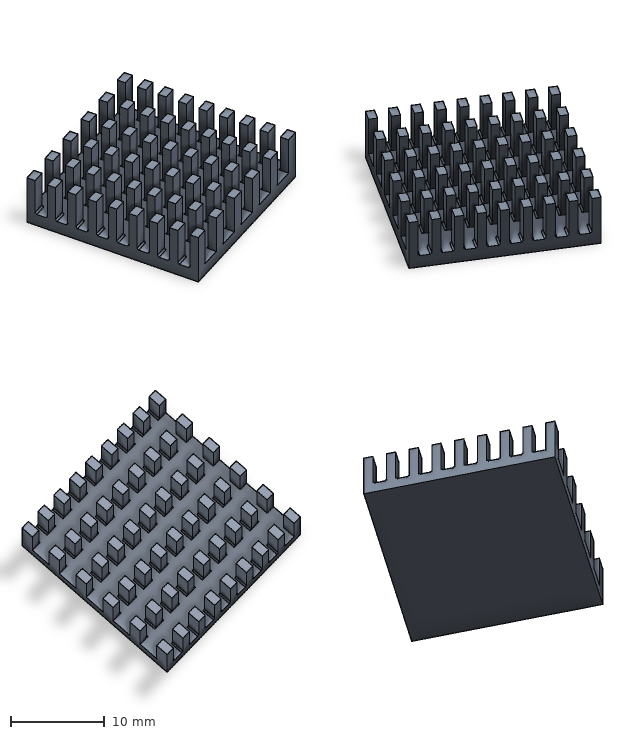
import cadquery as cq

side = 21.0
total_height = 6.0
base_thickness = 1.5

column_count = 9
pin_width = 1.0
row_count = 6
pin_length = 1.5
root_chamfer = 0.2

pin_height = total_height - base_thickness
column_pitch = (side - pin_width) / (column_count - 1)
row_pitch = (side - pin_length) / (row_count - 1)
column_gap = column_pitch - pin_width
row_gap = row_pitch - pin_length


def upright_box(length_x, length_y, height):
    """Box centred in X and Y, standing on Z = 0."""
    return cq.Workplane("XY").box(length_x, length_y, height, centered=(True, True, False))


def channel_centers(channel_count, pitch):
    """Evenly spaced channel positions, symmetric about zero."""
    return [(i - (channel_count - 1) / 2) * pitch for i in range(channel_count)]


def column_channel(center_x):
    """Channel along Y between two pin columns, with chamfered floor corners."""
    channel = upright_box(column_gap, side, pin_height)
    channel = channel.edges("|Y and <Z").chamfer(root_chamfer)
    return channel.translate((center_x, 0, base_thickness))


def row_channel(center_y):
    """Square-cornered channel along X between two pin rows."""
    return upright_box(side, row_gap, pin_height).translate((0, center_y, base_thickness))


def first_column_clearance():
    """Strip that squares the +X root of the first column's pins, all but the front (-Y) pin."""
    strip_length = side - pin_length
    center_x = -side / 2 + pin_width + root_chamfer / 2
    center_y = pin_length / 2
    strip = upright_box(root_chamfer, strip_length, pin_height)
    return strip.translate((center_x, center_y, base_thickness))


result = upright_box(side, side, total_height)

for x in channel_centers(column_count - 1, column_pitch):
    result = result.cut(column_channel(x))

for y in channel_centers(row_count - 1, row_pitch):
    result = result.cut(row_channel(y))

result = result.cut(first_column_clearance())